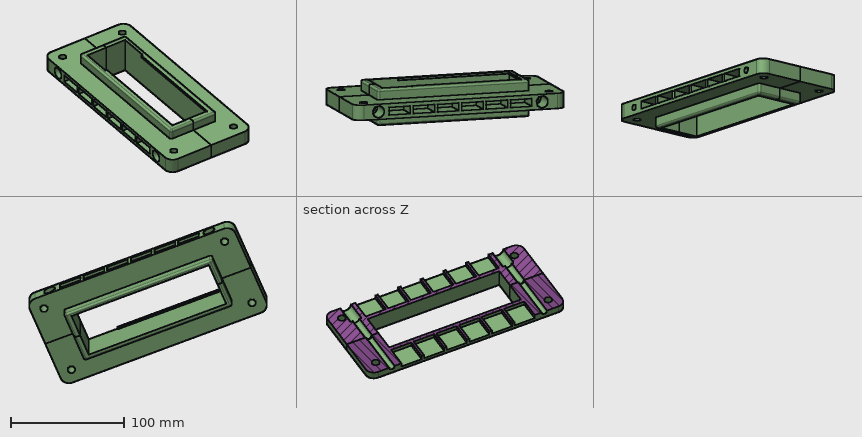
import cadquery as cq

LENGTH = 196.0
WIDTH = 88.0
PLATE_THICKNESS = 13.7
PLATE_CORNER_RADIUS = 8.0

HEIGHT = 33.0
COLLAR_LENGTH = 141.0
COLLAR_WIDTH = 48.8
COLLAR_FILLET = 2.0

WINDOW_LEFT = -64.7
LIP_RIGHT = 64.7
WINDOW_WIDTH = 40.4
LIP_OVERHANG = 1.5
LIP_THICKNESS = 2.0
LIP_LEFT = -37.0

MOUNT_DIAMETER = 6.5
MOUNT_SPACING_X = 172.0
MOUNT_SPACING_Y = 64.0

SCREW_SPACING = 151.9
SCREW_HEAD_DIAMETER = 10.4
SCREW_CLEARANCE_DIAMETER = 6.5
SCREW_TAP_DIAMETER = 5.0

POCKET_COUNT = 6
POCKET_PITCH = 22.5
POCKET_LENGTH = 19.8
POCKET_HEIGHT = 6.9
POCKET_DEPTH = (WIDTH - COLLAR_WIDTH) / 2

SCREW_HEAD_DEPTH = POCKET_DEPTH
HALF_WIDTH = WIDTH / 2
FRONT = -1
REAR = 1


def box_between(x_min, x_max, width, z_min, z_max):
    """Box centred on Y, given by its X and Z limits and its width."""
    return (
        cq.Workplane("XY", origin=((x_min + x_max) / 2, 0, z_min))
        .rect(x_max - x_min, width)
        .extrude(z_max - z_min)
    )


def make_window():
    """Window cutter: wide below the lip, and narrower through the lip itself."""
    bottom = -HEIGHT / 2
    top = HEIGHT / 2
    lip_width = WINDOW_WIDTH - 2 * LIP_OVERHANG
    window_right = LIP_RIGHT + LIP_OVERHANG
    below_lip = box_between(WINDOW_LEFT, window_right, WINDOW_WIDTH, bottom, top - LIP_THICKNESS)
    through_lip = box_between(WINDOW_LEFT, LIP_RIGHT, lip_width, bottom, top)
    notch = box_between(WINDOW_LEFT, LIP_LEFT, WINDOW_WIDTH, bottom, top)
    return below_lip.union(through_lip).union(notch)


def make_frame():
    """Whole frame before it is parted: plate, collar, window and mounting holes."""
    plate = cq.Workplane("XY").box(LENGTH, WIDTH, PLATE_THICKNESS).edges("|Z").fillet(PLATE_CORNER_RADIUS)
    collar = cq.Workplane("XY").box(COLLAR_LENGTH, COLLAR_WIDTH, HEIGHT).edges().fillet(COLLAR_FILLET)
    mount_holes = (
        cq.Workplane("XY")
        .rect(MOUNT_SPACING_X, MOUNT_SPACING_Y, forConstruction=True)
        .vertices()
        .circle(MOUNT_DIAMETER / 2)
        .extrude(PLATE_THICKNESS / 2, both=True)
    )
    return plate.union(collar).cut(make_window()).cut(mount_holes)


def make_pockets(side):
    """Row of pockets cut into the long edge on the given side."""
    return (
        cq.Workplane("XY", origin=(0, side * (HALF_WIDTH - POCKET_DEPTH / 2), 0))
        .rarray(POCKET_PITCH, 2, POCKET_COUNT, 1)
        .box(POCKET_LENGTH, POCKET_DEPTH, POCKET_HEIGHT)
    )


def make_screw_holes(diameter, y_start, depth):
    """Pair of holes along +Y, starting at y_start."""
    return (
        cq.Workplane("XZ", origin=(0, y_start, 0))
        .rarray(SCREW_SPACING, 2, 2, 1)
        .circle(diameter / 2)
        .extrude(-depth)
    )


def make_half(side):
    """Half of the frame on one side of the parting plane Y = 0, with its pockets."""
    keep = cq.Workplane("XY", origin=(0, side * HALF_WIDTH / 2, 0)).box(LENGTH, HALF_WIDTH, HEIGHT)
    frame_half = make_frame().intersect(keep)
    return frame_half.cut(make_pockets(side))


def make_front_half():
    """Half that takes the screw heads, with clearance holes and counterbores."""
    clearance = make_screw_holes(SCREW_CLEARANCE_DIAMETER, -HALF_WIDTH, HALF_WIDTH)
    head_bores = make_screw_holes(SCREW_HEAD_DIAMETER, -HALF_WIDTH, SCREW_HEAD_DEPTH)
    return make_half(FRONT).cut(clearance).cut(head_bores)


def make_rear_half():
    """Half that takes the screw threads, with tapping holes right through."""
    return make_half(REAR).cut(make_screw_holes(SCREW_TAP_DIAMETER, 0, HALF_WIDTH))


front_half = make_front_half()
rear_half = make_rear_half()

result = cq.Compound.makeCompound([front_half.val(), rear_half.val()])